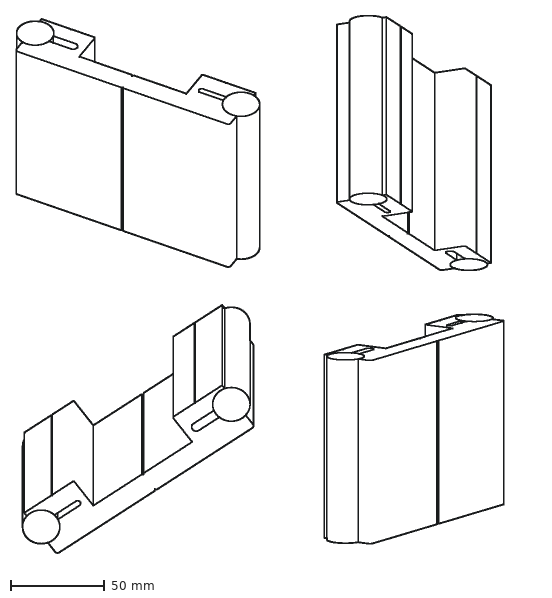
import cadquery as cq

height = 100.0
overall_width = 145.0

pin_diameter = 20.0
pin_radius = pin_diameter / 2
pin_x = overall_width / 2 - pin_radius
pin_y = 18.0

body_width = 130.0
body_depth = 30.0
web_thickness = 12.0
channel_width = 65.0
front_radius = 1.6
channel_radius = 0.6

groove_width = 1.5
groove_depth = 0.7

mark_width = 0.6
mark_depth = 0.3
mark_offset = 14.5
mark_x = channel_width / 2 + mark_offset

slot_end_x = 37.0
left_slot_width = 5.0
right_slot_width = 3.2


def make_blank():
    """U-shaped block with rounded front corners and channel mouth."""
    block = cq.Workplane("XY").box(body_width, body_depth, height, centered=(True, False, False))
    block = block.faces("<Y").edges("|Z").fillet(front_radius)
    channel = (
        cq.Workplane("XY")
        .box(channel_width, body_depth - web_thickness, height, centered=(True, False, False))
        .translate((0, web_thickness, 0))
    )
    block = block.cut(channel)
    back_edges = block.faces(">Y").edges("|Z")
    mouth_edges = back_edges.filter(lambda edge: abs(edge.Center().x) < body_width / 2 - front_radius)
    return mouth_edges.fillet(channel_radius)


def make_groove(x, face_y, inward, width, depth):
    """V-shaped cutter along Z; inward is the Y direction into the material."""
    half_width = width / 2
    return (
        cq.Workplane("XY")
        .polyline([
            (x - half_width, face_y),
            (x + half_width, face_y),
            (x, face_y + inward * depth),
        ])
        .close()
        .extrude(height)
    )


def make_slot(side, width):
    """Cutter running from the pin axis to a rounded inner end."""
    end_radius = width / 2
    arc_x = side * (slot_end_x + end_radius)
    return (
        cq.Workplane("XY")
        .moveTo(side * pin_x, pin_y - end_radius)
        .lineTo(arc_x, pin_y - end_radius)
        .threePointArc((side * slot_end_x, pin_y), (arc_x, pin_y + end_radius))
        .lineTo(side * pin_x, pin_y + end_radius)
        .close()
        .extrude(height)
    )


def make_pin(side):
    """Full-height round pin; the same shape cuts its socket."""
    return cq.Workplane("XY").center(side * pin_x, pin_y).circle(pin_radius).extrude(height)


pins = [make_pin(side) for side in (-1, 1)]

body = make_blank()
body = body.cut(make_groove(0, 0, 1, groove_width, groove_depth))
body = body.cut(make_groove(0, web_thickness, -1, groove_width, groove_depth))
for side in (-1, 1):
    body = body.cut(make_groove(side * mark_x, body_depth, -1, mark_width, mark_depth))
body = body.cut(make_slot(-1, left_slot_width)).cut(make_slot(1, right_slot_width))
for pin in pins:
    body = body.cut(pin)

result = cq.Compound.makeCompound([body.val(), *[pin.val() for pin in pins]])